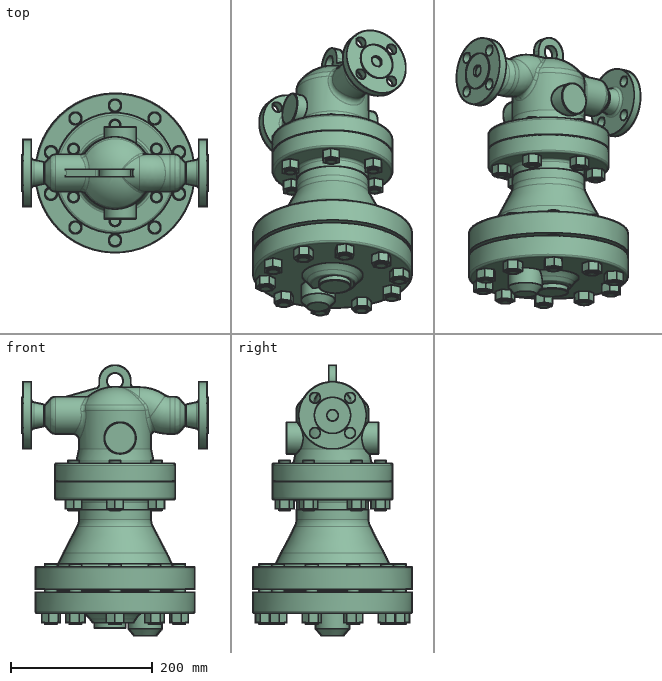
import cadquery as cq
import math


lower_flange_dia = 225.0
lower_joint_bottom = 61.6
lower_joint_top = 65.9
lower_flange_bottom = 31.6
lower_flange_top = 97.5
lower_flange_top_round = 1.3
flange_round = 3.0
lower_face_dia = 170.0
lower_gasket_dia = 168.0
lower_gasket_thickness = 2.2

upper_flange_dia = 170.0
upper_flange_bottom = 192.0
upper_flange_top = 243.5
upper_joint_height = 217.8
upper_gasket_dia = 162.5
upper_gasket_thickness = 0.8

lower_stud_dia = 18.0
lower_stud_circle = 190.0
lower_stud_count = 10
lower_nut_flats = 24.0
upper_stud_dia = 16.0
upper_stud_circle = 135.0
upper_stud_count = 6
upper_nut_flats = 23.0
stud_top_projection = 4.5
stud_nut_projection = 2.5
nut_height = 13.0
stud_chamfer = 1.0

bell_neck_dia = 102.0
bell_upper_neck_dia = 100.95
bell_neck_step = 178.0
bell_neck_bottom = 164.5
bell_cone_top_radius = 53.3
bell_cone_top = 154.8
bell_cone_bottom_radius = 72.5
bell_cone_bottom = 117.6
bell_skirt_radius = 80.2
bell_root_round = 4.2
bell_top_round = 3.6

head_dia = 102.0
dome_radius = 59.0
dome_edge_round = 14.0
dome_apex = 351.7
head_flare_top = 263.8
head_flare_radius = 54.5
head_root_round = 3.5

plug_dia = 45.0
plug_x = 7.2
plug_height = 279.0
plug_reach = 65.0
plug_chamfer = 0.8

pipe_height = 311.0
pipe_dia = 53.0
pipe_shoulder_x = 88.5
pipe_shoulder_round = 10.0
pipe_tip_x = 99.3
pipe_tip_radius = 14.0
inlet_blend = 8.0
outlet_blend = 5.0
edge_margin = 1.0
elbow_radius = 37.5
elbow_angle = 35.0
elbow_end_x = 77.0

end_flange_dia = 95.0
end_flange_thickness = 12.0
end_face_dia = 51.0
end_face_height = 1.5
end_face_x = 131.5
end_bore_dia = 16.0
end_bore_depth = 4.0
end_hole_dia = 15.0
end_hole_circle = 70.0
end_hole_count = 4
end_hole_start_angle = 45.0
weld_neck_x = 100.5
weld_neck_radius = 15.7
weld_neck_hub_x = 114.5
weld_neck_hub_radius = 18.7
weld_neck_root_rise = 3.3
weld_neck_root_round = 4.0

lug_radius = 22.5
lug_hole_dia = 22.2
lug_top = 382.0
lug_thickness = 11.0
lug_tail_x = -70.5
lug_tail_height = 337.0
lug_ramp_top = 349.3
lug_shoulder_height = 350.3
lug_side_round = 5.0
lug_base_height = 325.0

cap_top_radius = 43.0
cap_waist_radius = 36.0
cap_waist_height = 24.5
cap_bottom_radius = 31.3
cap_bottom_round = 2.0
cap_bottom = 18.4
cap_plug_x = -7.0
cap_plug_bottom = 11.0
drain_dia = 48.0
drain_x = 42.6
drain_chamfer_height = 10.0
drain_tip_dia = 31.0


def disc(diameter, bottom, top):
    """Solid disc on the vessel axis."""
    return cq.Workplane("XY").workplane(offset=bottom).circle(diameter / 2).extrude(top - bottom)


def make_lower_flanges():
    """Cover and body flange held apart by a gasket and a raised face."""
    cover = disc(lower_flange_dia, lower_flange_bottom, lower_joint_bottom)
    cover = cover.faces("<Z").edges().fillet(flange_round)
    ring = disc(lower_flange_dia, lower_joint_top, lower_flange_top)
    ring = ring.faces(">Z").edges().fillet(lower_flange_top_round)
    gasket_top = lower_joint_bottom + lower_gasket_thickness
    gasket = disc(lower_gasket_dia, lower_joint_bottom, gasket_top)
    raised_face = disc(lower_face_dia, gasket_top, lower_joint_top)
    return cover.union(gasket).union(raised_face).union(ring)


def make_upper_flanges():
    """Two flanges with a narrow gasket gap between them."""
    half_gap = upper_gasket_thickness / 2
    lower = disc(upper_flange_dia, upper_flange_bottom, upper_joint_height - half_gap)
    lower = lower.faces("<Z").edges().fillet(flange_round)
    upper = disc(upper_flange_dia, upper_joint_height + half_gap, upper_flange_top)
    upper = upper.faces(">Z").edges().fillet(flange_round)
    gasket = disc(upper_gasket_dia, upper_joint_height - half_gap, upper_joint_height + half_gap)
    return lower.union(gasket).union(upper)


def make_studs(stud_dia, circle_dia, count, nut_flats, seat_bottom, seat_top):
    """Ring of studs with hexagon nuts underneath; one stud lies on +Y."""
    nut_bottom = seat_bottom - nut_height
    stud_bottom = nut_bottom - stud_nut_projection
    stud = disc(stud_dia, stud_bottom, seat_top + stud_top_projection)
    stud = stud.faces("<Z or >Z").edges().chamfer(stud_chamfer)
    corner_dia = nut_flats / math.cos(math.radians(30))
    nut = cq.Workplane("XY").workplane(offset=nut_bottom).polygon(6, corner_dia).extrude(nut_height)
    fastener = stud.union(nut).translate((circle_dia / 2, 0, 0))
    ring = cq.Workplane("XY")
    for index in range(count):
        angle = 90 + index * 360 / count
        ring = ring.add(fastener.rotate((0, 0, 0), (0, 0, 1), angle))
    return ring


def make_bell():
    """Neck, cone and rounded skirt, with root rounds against both flanges."""
    top_radius = bell_upper_neck_dia / 2
    root_radius = bell_skirt_radius + bell_root_round
    return (
        cq.Workplane("XZ")
        .moveTo(0, lower_flange_top)
        .lineTo(0, upper_flange_bottom)
        .lineTo(top_radius + bell_top_round, upper_flange_bottom)
        .radiusArc((top_radius, upper_flange_bottom - bell_top_round), -bell_top_round)
        .lineTo(top_radius, bell_neck_step)
        .lineTo(bell_neck_dia / 2, bell_neck_step)
        .lineTo(bell_neck_dia / 2, bell_neck_bottom)
        .tangentArcPoint((bell_cone_top_radius, bell_cone_top), relative=False)
        .lineTo(bell_cone_bottom_radius, bell_cone_bottom)
        .tangentArcPoint((bell_skirt_radius, lower_flange_top + bell_root_round), relative=False)
        .radiusArc((root_radius, lower_flange_top), -bell_root_round)
        .close()
        .revolve(360, (0, 0, 0), (0, 1, 0))
    )


def make_head():
    """Domed cylinder: the dome meets the wall through a tangent round."""
    radius = head_dia / 2
    dome_center = dome_apex - dome_radius
    round_center_r = radius - dome_edge_round
    lift = math.acos(round_center_r / (dome_radius - dome_edge_round))
    round_center_z = dome_center + (dome_radius - dome_edge_round) * math.sin(lift)
    half = lift / 2
    dome_end = (dome_radius * math.cos(lift), dome_center + dome_radius * math.sin(lift))
    round_mid = (
        round_center_r + dome_edge_round * math.cos(half),
        round_center_z + dome_edge_round * math.sin(half),
    )
    dome_half = (lift + math.pi / 2) / 2
    dome_mid = (dome_radius * math.cos(dome_half), dome_center + dome_radius * math.sin(dome_half))
    root_radius = head_flare_radius + head_root_round
    return (
        cq.Workplane("XZ")
        .moveTo(0, upper_flange_top)
        .lineTo(root_radius, upper_flange_top)
        .radiusArc((head_flare_radius, upper_flange_top + head_root_round), head_root_round)
        .lineTo(radius, head_flare_top)
        .lineTo(radius, round_center_z)
        .threePointArc(round_mid, dome_end)
        .threePointArc(dome_mid, (0, dome_apex))
        .close()
        .revolve(360, (0, 0, 0), (0, 1, 0))
    )


def edges_between(x_min, x_max):
    """Selector for edges on the pipes and head within a range of X, above the head flare."""
    return cq.selectors.BoxSelector(
        (x_min, -head_dia, head_flare_top + edge_margin),
        (x_max, head_dia, lug_top),
        boundingbox=True,
    )


def make_pipe_end(start_x):
    """Straight pipe on +X that tapers through a rounded shoulder to its tip."""
    pipe = (
        cq.Workplane("XZ", origin=(0, 0, pipe_height))
        .moveTo(start_x, 0)
        .lineTo(start_x, pipe_dia / 2)
        .lineTo(pipe_shoulder_x, pipe_dia / 2)
        .lineTo(pipe_tip_x, pipe_tip_radius)
        .lineTo(pipe_tip_x, 0)
        .close()
        .revolve(360, (0, 0, 0), (1, 0, 0))
    )
    shoulder = edges_between(pipe_shoulder_x - edge_margin, pipe_shoulder_x + edge_margin)
    return pipe.edges(shoulder).fillet(pipe_shoulder_round)


def make_outlet_elbow():
    """S-bend from high in the head down to the outlet axis."""
    angle = math.radians(elbow_angle)
    run = elbow_radius * math.sin(angle)
    drop = elbow_radius * (1 - math.cos(angle))
    half_run = elbow_radius * math.sin(angle / 2)
    half_drop = elbow_radius * (1 - math.cos(angle / 2))
    start_x = elbow_end_x - 2 * run
    start_z = pipe_height + 2 * drop
    path = (
        cq.Workplane("XZ")
        .moveTo(0, start_z)
        .lineTo(start_x, start_z)
        .threePointArc((start_x + half_run, start_z - half_drop), (start_x + run, start_z - drop))
        .threePointArc((elbow_end_x - half_run, pipe_height + half_drop), (elbow_end_x, pipe_height))
    )
    return cq.Workplane("YZ", origin=(0, 0, start_z)).circle(pipe_dia / 2).sweep(path)


def make_end_flange():
    """Weld-neck flange on +X with raised face, blind bore and bolt holes."""
    face_back = end_face_x - end_face_height
    flange_back = face_back - end_flange_thickness
    root_radius = weld_neck_hub_radius + weld_neck_root_rise
    profile = (
        cq.Workplane("XZ", origin=(0, 0, pipe_height))
        .moveTo(pipe_tip_x, 0)
        .lineTo(pipe_tip_x, pipe_tip_radius)
        .lineTo(weld_neck_x, weld_neck_radius)
        .lineTo(weld_neck_hub_x, weld_neck_hub_radius)
        .radiusArc((flange_back, root_radius), -weld_neck_root_round)
        .lineTo(flange_back, end_flange_dia / 2)
        .lineTo(face_back, end_flange_dia / 2)
        .lineTo(face_back, end_face_dia / 2)
        .lineTo(end_face_x, end_face_dia / 2)
        .lineTo(end_face_x, 0)
        .close()
    )
    flange = profile.revolve(360, (0, 0, 0), (1, 0, 0))
    face = cq.Workplane("YZ", origin=(end_face_x, 0, pipe_height))
    bore = face.circle(end_bore_dia / 2).extrude(-end_bore_depth)
    holes = (
        face.polarArray(end_hole_circle / 2, end_hole_start_angle, 360, end_hole_count)
        .circle(end_hole_dia / 2)
        .extrude(flange_back - end_face_x)
    )
    return flange.cut(bore).cut(holes)


def make_head_with_pipes():
    """Head joined to both pipes, with blends along the joints."""
    inlet = make_pipe_end(0).mirror("YZ")
    body = make_head().union(inlet)
    inlet_joint = edges_between(-dome_radius, -edge_margin)
    body = body.edges(inlet_joint).edges("not #Z").fillet(inlet_blend)
    body = body.union(make_outlet_elbow().union(make_pipe_end(elbow_end_x)))
    outlet_joint = edges_between(edge_margin, dome_radius)
    return body.edges(outlet_joint).edges("%BSPLINE").fillet(outlet_blend)


def make_side_plugs():
    """Round plugs on the -Y and +Y sides of the head."""
    plugs = (
        cq.Workplane("XZ", origin=(plug_x, 0, plug_height))
        .circle(plug_dia / 2)
        .extrude(plug_reach, both=True)
    )
    return plugs.faces("<Y or >Y").edges().chamfer(plug_chamfer)


def make_lug():
    """Eye plate over the head, with a ramp running down onto the inlet pipe."""
    center_z = lug_top - lug_radius
    foot_z = lug_shoulder_height
    foot_reach = lug_radius + lug_side_round
    plate = (
        cq.Workplane("XZ")
        .moveTo(0, lug_base_height)
        .lineTo(lug_tail_x, lug_base_height)
        .lineTo(lug_tail_x, lug_tail_height)
        .lineTo(-foot_reach, lug_ramp_top)
        .radiusArc((-lug_radius, foot_z + lug_side_round), -lug_side_round)
        .lineTo(-lug_radius, center_z)
        .threePointArc((0, lug_top), (lug_radius, center_z))
        .lineTo(lug_radius, foot_z + lug_side_round)
        .radiusArc((foot_reach, foot_z), -lug_side_round)
        .lineTo(foot_reach, lug_base_height)
        .close()
        .extrude(lug_thickness / 2, both=True)
    )
    hole = (
        cq.Workplane("XZ", origin=(0, 0, center_z))
        .circle(lug_hole_dia / 2)
        .extrude(lug_thickness, both=True)
    )
    return plate.cut(hole)


def make_bottom_cap():
    """Conical cap under the cover, carrying an off-centre plug and the drain stub."""
    cap = (
        cq.Workplane("XZ")
        .moveTo(0, cap_bottom)
        .lineTo(cap_bottom_radius, cap_bottom)
        .lineTo(cap_waist_radius, cap_waist_height)
        .tangentArcPoint((cap_top_radius, lower_flange_bottom), relative=False)
        .lineTo(0, lower_flange_bottom)
        .close()
        .revolve(360, (0, 0, 0), (0, 1, 0))
    )
    cap = cap.faces("<Z").edges().fillet(cap_bottom_round)
    plug = disc(plug_dia, cap_plug_bottom, lower_flange_bottom)
    plug = plug.faces("<Z").edges().chamfer(plug_chamfer).translate((cap_plug_x, 0, 0))
    drain = (
        cq.Workplane("XZ", origin=(drain_x, 0, 0))
        .lineTo(drain_tip_dia / 2, 0)
        .lineTo(drain_dia / 2, drain_chamfer_height)
        .lineTo(drain_dia / 2, lower_flange_bottom)
        .lineTo(0, lower_flange_bottom)
        .close()
        .revolve(360, (0, 0, 0), (0, 1, 0))
    )
    return cap.union(plug).union(drain)


result = make_lower_flanges().union(make_upper_flanges()).union(make_bell())
result = result.union(make_head_with_pipes()).union(make_side_plugs()).union(make_lug())
end_flange = make_end_flange()
result = result.union(end_flange).union(end_flange.mirror("YZ")).union(make_bottom_cap())
lower_studs = make_studs(
    lower_stud_dia,
    lower_stud_circle,
    lower_stud_count,
    lower_nut_flats,
    lower_flange_bottom,
    lower_flange_top,
)
upper_studs = make_studs(
    upper_stud_dia,
    upper_stud_circle,
    upper_stud_count,
    upper_nut_flats,
    upper_flange_bottom,
    upper_flange_top,
)
for fastener in lower_studs.vals() + upper_studs.vals():
    result = result.union(cq.Workplane(fastener))